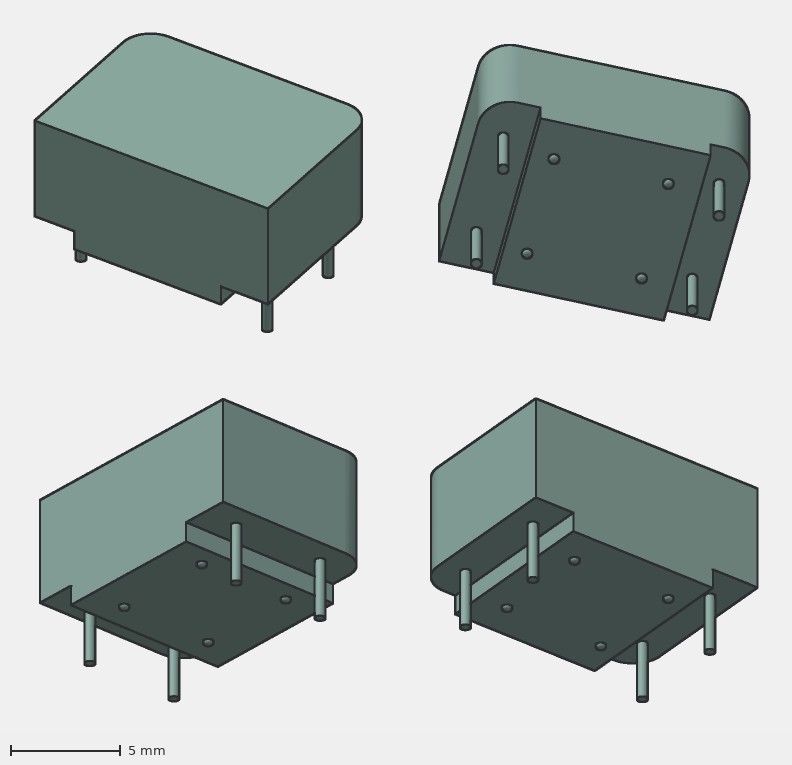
import cadquery as cq

length = 12.7
width = 8.89
housing_height = 5.35
corner_radius = 1.5

foot_length = 7.99
foot_height = 1.0
foot_left = 2.15

pin_diameter = 0.5
pin_length = 3.0
pin_spacing_x = 10.13
pin_spacing_y = 5.08

bump_diameter = 0.5
bump_height = 0.19
bump_edge_radius = 0.18
bump_spacing_x = 5.37

center_x = length / 2
center_y = width / 2


def make_bump(x, y):
    """Low round standoff with a well rounded lower edge."""
    return (
        cq.Workplane("XY", origin=(x, y, -foot_height))
        .circle(bump_diameter / 2)
        .extrude(-bump_height)
        .faces("<Z")
        .edges()
        .fillet(bump_edge_radius)
    )


def make_housing():
    """Housing with its foot and bumps; its underside lies at Z = 0."""
    block = (
        cq.Workplane("XY")
        .box(length, width, housing_height, centered=False)
        .edges("|Z and >Y")
        .fillet(corner_radius)
    )
    foot = (
        cq.Workplane("XY", origin=(foot_left, 0, -foot_height))
        .box(foot_length, width, foot_height, centered=False)
    )
    body = block.union(foot)
    for side_x in (-1, 1):
        for side_y in (-1, 1):
            bump_x = center_x + side_x * bump_spacing_x / 2
            bump_y = center_y + side_y * pin_spacing_y / 2
            body = body.union(make_bump(bump_x, bump_y))
    return body


def make_pin(x, y):
    """Straight round pin hanging from the housing underside."""
    return cq.Workplane("XY", origin=(x, y, 0)).circle(pin_diameter / 2).extrude(-pin_length)


housing = make_housing()

pins = []
for side_x in (-1, 1):
    for side_y in (-1, 1):
        pin_x = center_x + side_x * pin_spacing_x / 2
        pin_y = center_y + side_y * pin_spacing_y / 2
        pins.append(make_pin(pin_x, pin_y).val())

result = cq.Compound.makeCompound([housing.val(), *pins])